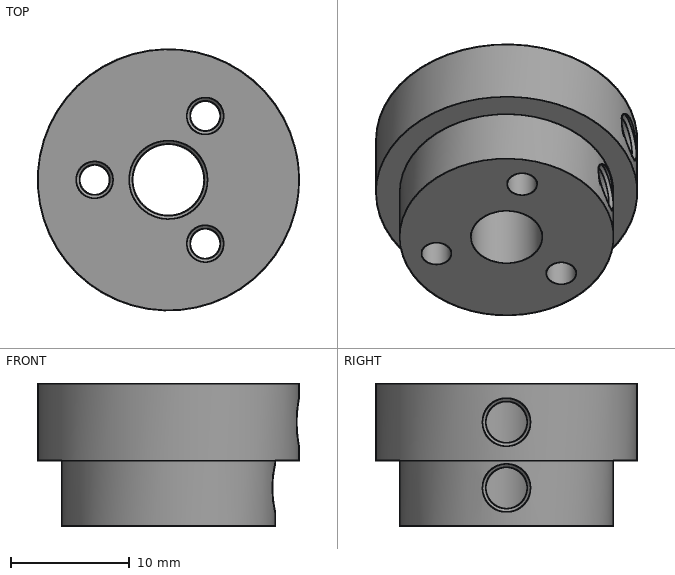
import cadquery as cq
import math

flange_diameter = 22.0
hub_diameter = 18.0
total_height = 12.0
flange_height = 6.5
hub_height = total_height - flange_height

bore_diameter = 6.0
bore_mouth_diameter = 6.6

mount_hole_count = 3
mount_hole_diameter = 2.5
mount_mouth_diameter = 3.1
mount_circle_radius = 6.2

screw_hole_diameter = 3.48
screw_mouth_diameter = 4.05
hub_screw_height = 3.21
flange_screw_height = hub_height + flange_height / 2


def hole_mouth(diameter, mouth_diameter):
    """45 degree cone, widest at the origin and narrowing to the hole along +Z."""
    depth = (mouth_diameter - diameter) / 2
    return cq.Workplane("XY").add(cq.Solid.makeCone(mouth_diameter / 2, diameter / 2, depth))


def vertical_hole(diameter, mouth_diameter):
    """Through hole along Z with a chamfered mouth at the top."""
    shaft = cq.Workplane("XY").circle(diameter / 2).extrude(total_height)
    mouth = hole_mouth(diameter, mouth_diameter).mirror("XY").translate((0, 0, total_height))
    return shaft.union(mouth)


def screw_hole(outer_radius, height):
    """Radial hole from the bore axis out to +X, countersunk just below the curved outer wall."""
    mouth_radius = screw_mouth_diameter / 2
    seat_radius = math.sqrt(outer_radius**2 - mouth_radius**2)
    shaft = cq.Workplane("XY").circle(screw_hole_diameter / 2).extrude(seat_radius)
    countersink = hole_mouth(screw_hole_diameter, screw_mouth_diameter)
    clearance = cq.Workplane("XY").circle(mouth_radius).extrude(seat_radius - outer_radius)
    upright = shaft.union(countersink).union(clearance)
    return upright.rotate((0, 0, 0), (0, 1, 0), -90).translate((seat_radius, 0, height))


body = cq.Workplane("XY").circle(hub_diameter / 2).extrude(hub_height)
body = body.faces(">Z").workplane().circle(flange_diameter / 2).extrude(flange_height)

body = body.cut(vertical_hole(bore_diameter, bore_mouth_diameter))

mount_hole = vertical_hole(mount_hole_diameter, mount_mouth_diameter).translate((-mount_circle_radius, 0, 0))
for index in range(mount_hole_count):
    angle = index * 360 / mount_hole_count
    body = body.cut(mount_hole.rotate((0, 0, 0), (0, 0, 1), angle))

body = body.cut(screw_hole(hub_diameter / 2, hub_screw_height))
body = body.cut(screw_hole(flange_diameter / 2, flange_screw_height))

result = body